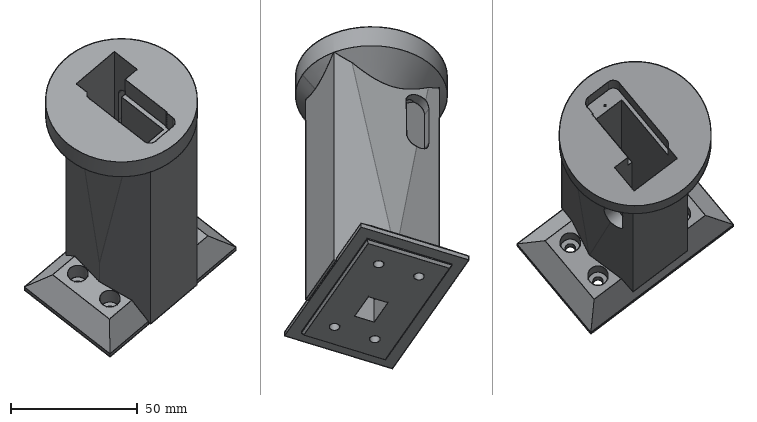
import cadquery as cq

height = 122.0
plate_bottom = 2.0
plate_edge_top = 4.0
plate_top = 12.0
column_bottom = 3.0

flange_radius = 30.0
flange_thickness = 10.0
cone_height = 18.0
flange_bottom = height - flange_thickness

plate_width = 47.0
plate_length = 72.0
plate_center_y = 5.0
plate_slope = plate_top - plate_edge_top
lip_width = 37.0
lip_length = 62.0
lip_chamfer_inset = 0.7
lip_chamfer_height = 1.3

screw_x = 8.8
screw_spacing_y = 41.5
screw_diameter = 4.1
counterbore_diameter = 8.0
counterbore_depth = plate_slope

column_left = -21.2
column_right = 24.5
ridge_x = 0.1
front_ridge_y = -12.7
front_left_y = -9.6
front_right_y = -8.9
front_trim_start = 24.4
front_trim_lean = 0.025
back_ridge_y = 23.0
back_left_y = 17.9
back_right_y = 17.6
back_trim_start = 11.0
back_trim_lean = 0.04

pocket_left = -18.4
pocket_right = 16.8
pocket_front = -6.6
pocket_back = 6.3
side_pocket_right = -6.0
side_pocket_back = 15.1
pocket_floor = plate_top
outlet_half_width = 4.3

recess_left = -12.8
recess_right = 23.4
recess_front = -8.2
recess_back = 7.9
recess_corner = 3.0
relief_back = 8.3
recess_floor = flange_bottom
pin_hole_x = 19.2
pin_hole_diameter = 0.8
pin_hole_depth = 2.5

window_left = -16.1
window_right = side_pocket_right
window_bottom = 72.8
window_top = 100.9


def box(x0, x1, y0, y1, z0, z1):
    """Box between the given limits."""
    return cq.Workplane("XY").box(x1 - x0, y1 - y0, z1 - z0, centered=False).translate((x0, y0, z0))


def plate_layer(width, length, z):
    """Rectangle centred on the plate at level z."""
    return cq.Workplane("XY", origin=(0, plate_center_y, z)).rect(width, length)


def make_plate():
    slab = plate_layer(plate_width, plate_length, plate_bottom).extrude(plate_edge_top - plate_bottom)
    sloped = (
        plate_layer(plate_width, plate_length, plate_edge_top)
        .workplane(offset=plate_slope)
        .rect(plate_width - 2 * plate_slope, plate_length - 2 * plate_slope)
        .loft(ruled=True)
    )
    lip = (
        plate_layer(lip_width, lip_length, 0)
        .extrude(plate_bottom)
        .faces("<Z")
        .chamfer(lip_chamfer_height, lip_chamfer_inset)
    )
    plate = slab.union(sloped).union(lip)
    screws = (
        cq.Workplane("XY", origin=(0, plate_center_y, plate_top))
        .rect(2 * screw_x, screw_spacing_y, forConstruction=True)
        .vertices()
    )
    through = screws.circle(screw_diameter / 2).extrude(-plate_top)
    counterbore = screws.circle(counterbore_diameter / 2).extrude(-counterbore_depth)
    return plate.cut(through).cut(counterbore)


def make_column():
    prism = (
        cq.Workplane("XY", origin=(0, 0, column_bottom))
        .polyline([
            (column_left, front_left_y),
            (ridge_x, front_ridge_y),
            (column_right, front_right_y),
            (column_right, back_right_y),
            (ridge_x, back_ridge_y),
            (column_left, back_left_y),
        ])
        .close()
        .extrude(flange_bottom - column_bottom)
    )
    front_top_y = front_ridge_y + front_trim_lean * (flange_bottom - front_trim_start)
    back_top_y = back_ridge_y - back_trim_lean * (flange_bottom - back_trim_start)
    side_profile = (
        cq.Workplane("YZ", origin=(column_left, 0, 0))
        .polyline([
            (front_ridge_y, column_bottom),
            (front_ridge_y, front_trim_start),
            (front_top_y, flange_bottom),
            (back_top_y, flange_bottom),
            (back_ridge_y, back_trim_start),
            (back_ridge_y, column_bottom),
        ])
        .close()
        .extrude(column_right - column_left)
    )
    return prism.intersect(side_profile)


def make_flange():
    return (
        cq.Workplane("XZ")
        .polyline([
            (0, height),
            (flange_radius, height),
            (flange_radius, flange_bottom),
            (flange_radius - cone_height, flange_bottom - cone_height),
            (0, flange_bottom - cone_height),
        ])
        .close()
        .revolve(360, (0, 0), (0, 1))
    )


def make_pocket():
    main = box(pocket_left, pocket_right, pocket_front, pocket_back, pocket_floor, height)
    side = box(pocket_left, side_pocket_right, pocket_front, side_pocket_back, pocket_floor, height)
    outlet = box(-outlet_half_width, outlet_half_width, pocket_front, pocket_back, 0, height)
    return main.union(side).union(outlet)


def make_recess():
    rounded = box(
        recess_left, recess_right, recess_front, recess_back, recess_floor, height
    ).edges("|Z").fillet(recess_corner)
    relief = box(side_pocket_right, pocket_right, 0, relief_back, recess_floor, height)
    pin_hole = (
        cq.Workplane("XY", origin=(pin_hole_x, 0, recess_floor))
        .circle(pin_hole_diameter / 2)
        .extrude(-pin_hole_depth)
    )
    return rounded.union(relief).union(pin_hole)


def make_window():
    window_center_x = (window_left + window_right) / 2
    window_center_z = (window_bottom + window_top) / 2
    start_y = (pocket_back + side_pocket_back) / 2
    return (
        cq.Workplane("XZ", origin=(window_center_x, start_y, window_center_z))
        .slot2D(window_top - window_bottom, window_right - window_left, 90)
        .extrude(start_y - back_ridge_y)
    )


result = (
    make_plate()
    .union(make_column().cut(make_window()))
    .union(make_flange())
    .cut(make_pocket())
    .cut(make_recess())
)